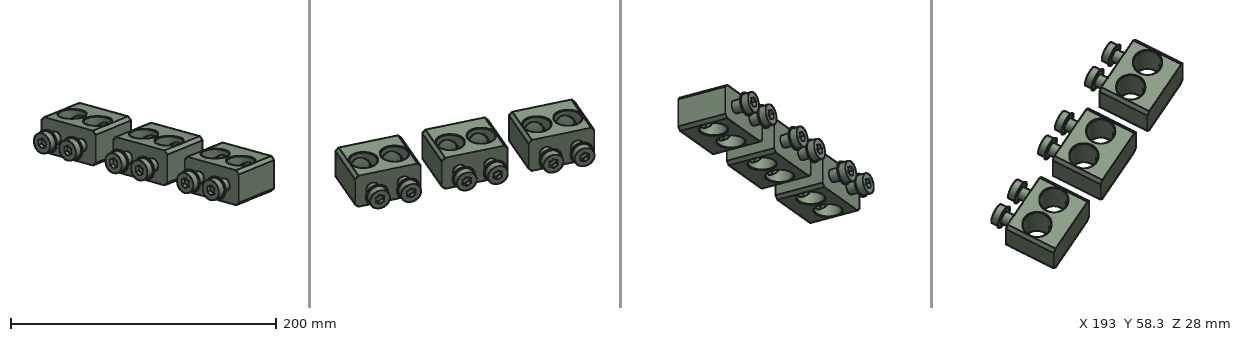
import cadquery as cq
import math

total_width = 193.0
total_depth = 58.3

block_count = 3
block_width = 53.0
block_depth = 41.9
block_height = 28.0
edge_chamfer = 2.7
block_pitch = (total_width - block_width) / (block_count - 1)
block_front_y = total_depth / 2 - block_depth

hole_spacing = 25.0
hole_radius = 10.6
rim_chamfer = 0.5
hole_setback = 19.1
hole_y = block_front_y + hole_setback

recess_radius = 9.5
dome_height = 1.5
dome_overhang = 0.4
dome_radius = (recess_radius**2 + dome_height**2) / (2 * dome_height)
dome_tip_y = hole_y + hole_radius - dome_overhang
recess_floor_y = dome_tip_y + dome_height

shank_radius = 5.0
head_radius = 16.0 / 2
head_length = 6.2
washer_radius = 9.0
washer_thickness = 0.5
socket_width = 7.0
socket_depth = 3.9
screw_front_y = -total_depth / 2
washer_front_y = screw_front_y + head_length


def cylinder_along_y(x, radius, start_y, end_y):
    """Cylinder at mid height whose axis runs along Y."""
    start = cq.Vector(x, start_y, 0)
    return cq.Workplane(cq.Solid.makeCylinder(radius, end_y - start_y, start, cq.Vector(0, 1, 0)))


def make_block_blank():
    """Plain block with its four long edges chamfered."""
    return (
        cq.Workplane()
        .box(block_width, block_depth, block_height)
        .edges("|Y")
        .chamfer(edge_chamfer)
        .translate((0, block_front_y + block_depth / 2, 0))
    )


def make_conductor_hole(x):
    """Cutter for a vertical through hole with chamfered rims."""
    half_height = block_height / 2
    rim_radius = hole_radius + rim_chamfer
    profile = [
        (0, -half_height),
        (rim_radius, -half_height),
        (hole_radius, rim_chamfer - half_height),
        (hole_radius, half_height - rim_chamfer),
        (rim_radius, half_height),
        (0, half_height),
    ]
    hole = cq.Workplane("XZ").polyline(profile).close().revolve(360, (0, 0), (0, 1))
    return hole.translate((x, hole_y, 0))


def make_recess(x):
    """Cutter for the round recess, from the hole axis to the recess floor."""
    return cylinder_along_y(x, recess_radius, hole_y, recess_floor_y)


def make_dome(x):
    """Spherical cap rising from the recess floor towards the screw."""
    ball = cq.Workplane().sphere(dome_radius).translate((x, dome_tip_y + dome_radius, 0))
    return cylinder_along_y(x, recess_radius, hole_y, recess_floor_y).intersect(ball)


def make_screw(x):
    """Socket head screw with its washer, ending at the block's front face."""
    shank = cylinder_along_y(x, shank_radius, washer_front_y, block_front_y)
    washer = cylinder_along_y(x, washer_radius, washer_front_y, washer_front_y + washer_thickness)
    head = cylinder_along_y(x, head_radius, screw_front_y, washer_front_y)
    socket_corner_diameter = socket_width / math.cos(math.pi / 6)
    socket = (
        cq.Workplane("XZ")
        .polygon(6, socket_corner_diameter)
        .extrude(-socket_depth)
        .rotate((0, 0, 0), (0, 1, 0), 30)
        .translate((x, screw_front_y, 0))
    )
    return shank.union(washer).union(head).cut(socket)


def make_clamp():
    """One clamp body: block, recess domes and two screws in one piece."""
    clamp = make_block_blank()
    hole_places = [-hole_spacing / 2, hole_spacing / 2]
    for x in hole_places:
        clamp = clamp.cut(make_conductor_hole(x)).cut(make_recess(x))
    for x in hole_places:
        clamp = clamp.union(make_dome(x)).union(make_screw(x))
    return clamp


clamps = []
for index in range(block_count):
    clamp_x = (index - (block_count - 1) / 2) * block_pitch
    clamps.append(make_clamp().translate((clamp_x, 0, 0)).val())

result = cq.Compound.makeCompound(clamps)